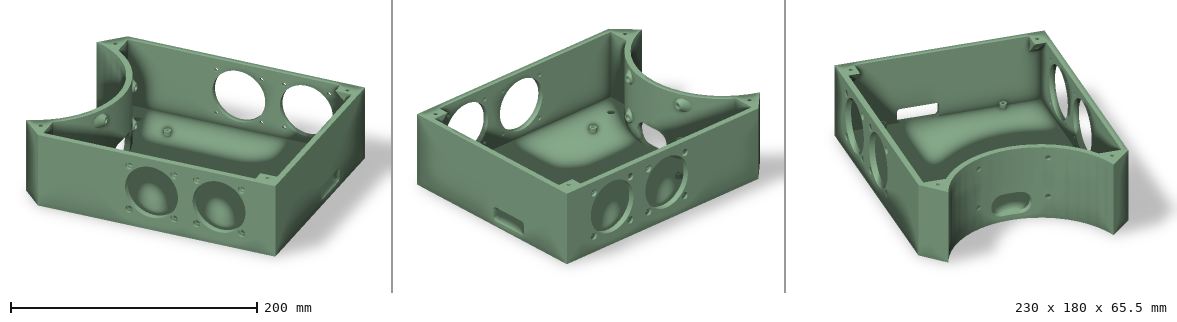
import cadquery as cq
import math

LENGTH = 230.0
WIDTH = 180.0
HEIGHT = 65.5
WALL = 5.0
FLOOR = 5.0
HALF_WIDTH = WIDTH / 2
HORN_CHAMFER = 19.0
HORN_TIP_Y = HALF_WIDTH - HORN_CHAMFER
BITE_RADIUS = 75.0
BITE_CENTER_X = -math.sqrt(BITE_RADIUS ** 2 - HORN_TIP_Y ** 2)
CURVED_WALL_RADIUS = BITE_RADIUS + WALL
HORN_SOLID_X = 21.6

LID_HOLE_DIAMETER = 3.5
LID_HOLE_DEPTH = 10.4
HORN_SCREW = (15.0, 74.8)
CORNER_SCREW = (218.7, 80.0)
GUSSET_START_X = 210.2
GUSSET_INNER_Y = 75.0

CABLE_HOLE_DIAMETER = 6.5
CABLE_HOLE = (38.5, 66.0)
STANDOFF_X = (71.5, 221.3)
STANDOFF_Y = 51.5
STANDOFF_DIAMETER = 6.0
STANDOFF_HEIGHT = 4.5
STANDOFF_BORE = 3.5

FAN_X = (120.0, 180.0)
FAN_Z = 35.0
FAN_OPENING = 47.0
FAN_SCREW_PITCH = 40.0
FAN_SCREW_DIAMETER = 3.5
FAN_SCREW_HEAD = 6.5
FAN_HEAD_DEPTH = 2.5

SLOT_WIDTH = 35.0
SLOT_HEIGHT = 20.0
MOUNT_Y = 30.0
MOUNT_Z = (20.0, 56.0)
MOUNT_HOLE = 4.4
MOUNT_FACE_X = 53.1
MOUNT_FACE_RADIUS = 3.5
MOUNT_BASE_X = 46.0
MOUNT_BASE_RADIUS = 8.7

WINDOW_Y = (1.8, 38.5)
WINDOW_Z = (FLOOR, 17.7)
WINDOW_CORNER = 3.0


def mirrored(x, y):
    """The point and its mirror image across the XZ plane."""
    return [(x, y), (x, -y)]


def bite(radius):
    """Full-height cylinder about the axis of the round bite."""
    return cq.Workplane("XY").center(BITE_CENTER_X, 0).circle(radius).extrude(HEIGHT)


def make_shell():
    outline = [
        (0, HORN_TIP_Y),
        (HORN_CHAMFER, HALF_WIDTH),
        (LENGTH, HALF_WIDTH),
        (LENGTH, -HALF_WIDTH),
        (HORN_CHAMFER, -HALF_WIDTH),
        (0, -HORN_TIP_Y),
    ]
    body = cq.Workplane("XY").polyline(outline).close().extrude(HEIGHT).cut(bite(BITE_RADIUS))
    cavity = (
        cq.Workplane("XY", origin=(HORN_SOLID_X, 0, FLOOR))
        .rect(LENGTH - WALL - HORN_SOLID_X, WIDTH - 2 * WALL, centered=(False, True))
        .extrude(HEIGHT)
        .cut(bite(CURVED_WALL_RADIUS))
    )
    return body.cut(cavity)


def make_gussets():
    """Wedges under the rim in the two +X corners, sloped at 45 degrees."""
    wall_x = LENGTH - WALL
    drop = wall_x - GUSSET_START_X
    profile = [
        (GUSSET_START_X, HEIGHT),
        (LENGTH, HEIGHT),
        (LENGTH, HEIGHT - drop),
        (wall_x, HEIGHT - drop),
    ]
    wedge = (
        cq.Workplane("XZ", origin=(0, -GUSSET_INNER_Y, 0))
        .polyline(profile)
        .close()
        .extrude(HALF_WIDTH - GUSSET_INNER_Y)
    )
    return wedge.union(wedge.mirror("XZ"))


def make_lid_holes():
    points = mirrored(*HORN_SCREW) + mirrored(*CORNER_SCREW)
    return (
        cq.Workplane("XY", origin=(0, 0, HEIGHT - LID_HOLE_DEPTH))
        .pushPoints(points)
        .circle(LID_HOLE_DIAMETER / 2)
        .extrude(LID_HOLE_DEPTH)
    )


def standoff_cylinders(diameter):
    points = [point for x in STANDOFF_X for point in mirrored(x, STANDOFF_Y)]
    return cq.Workplane("XY").pushPoints(points).circle(diameter / 2).extrude(FLOOR + STANDOFF_HEIGHT)


def make_cable_holes():
    return cq.Workplane("XY").pushPoints(mirrored(*CABLE_HOLE)).circle(CABLE_HOLE_DIAMETER / 2).extrude(FLOOR)


def make_fan_cuts():
    """Openings and screw holes through both long walls, heads sunk into the outside."""
    offsets = (-FAN_SCREW_PITCH / 2, FAN_SCREW_PITCH / 2)
    centers = [(x, FAN_Z) for x in FAN_X]
    screws = [(x + dx, FAN_Z + dz) for x in FAN_X for dx in offsets for dz in offsets]
    wall_plane = cq.Workplane("XZ")
    openings = wall_plane.pushPoints(centers).circle(FAN_OPENING / 2).extrude(HALF_WIDTH, both=True)
    holes = wall_plane.pushPoints(screws).circle(FAN_SCREW_DIAMETER / 2).extrude(HALF_WIDTH, both=True)
    heads = (
        cq.Workplane("XZ", origin=(0, FAN_HEAD_DEPTH - HALF_WIDTH, 0))
        .pushPoints(screws)
        .circle(FAN_SCREW_HEAD / 2)
        .extrude(FAN_HEAD_DEPTH)
    )
    return openings.union(holes).union(heads).union(heads.mirror("XZ"))


def mount_points():
    return [(y, z) for y in (-MOUNT_Y, MOUNT_Y) for z in MOUNT_Z]


def make_mount_bosses():
    """Cones that give each mounting screw a flat seat inside the curved wall."""
    bosses = cq.Workplane("XY")
    length = MOUNT_FACE_X - MOUNT_BASE_X
    for y, z in mount_points():
        base = cq.Vector(MOUNT_BASE_X, y, z)
        along_x = cq.Vector(1, 0, 0)
        cone = cq.Solid.makeCone(MOUNT_BASE_RADIUS, MOUNT_FACE_RADIUS, length, base, along_x)
        bosses = bosses.union(cq.Workplane(cone))
    return bosses.cut(bite(BITE_RADIUS))


def make_curved_wall_cuts():
    holes = cq.Workplane("YZ").pushPoints(mount_points()).circle(MOUNT_HOLE / 2).extrude(MOUNT_FACE_X)
    slot = (
        cq.Workplane("YZ", origin=(0, 0, FLOOR + SLOT_HEIGHT / 2))
        .slot2D(SLOT_WIDTH, SLOT_HEIGHT)
        .extrude(BITE_CENTER_X + CURVED_WALL_RADIUS)
    )
    return holes.union(slot)


def make_window():
    y_low, y_high = WINDOW_Y
    z_low, z_high = WINDOW_Z
    return (
        cq.Workplane("YZ", origin=(LENGTH - WALL, (y_low + y_high) / 2, (z_low + z_high) / 2))
        .rect(y_high - y_low, z_high - z_low)
        .extrude(WALL)
        .edges("|X")
        .fillet(WINDOW_CORNER)
    )


result = (
    make_shell()
    .union(make_gussets())
    .union(make_mount_bosses())
    .union(standoff_cylinders(STANDOFF_DIAMETER))
    .cut(standoff_cylinders(STANDOFF_BORE))
    .cut(make_lid_holes())
    .cut(make_cable_holes())
    .cut(make_fan_cuts())
    .cut(make_curved_wall_cuts())
    .cut(make_window())
)